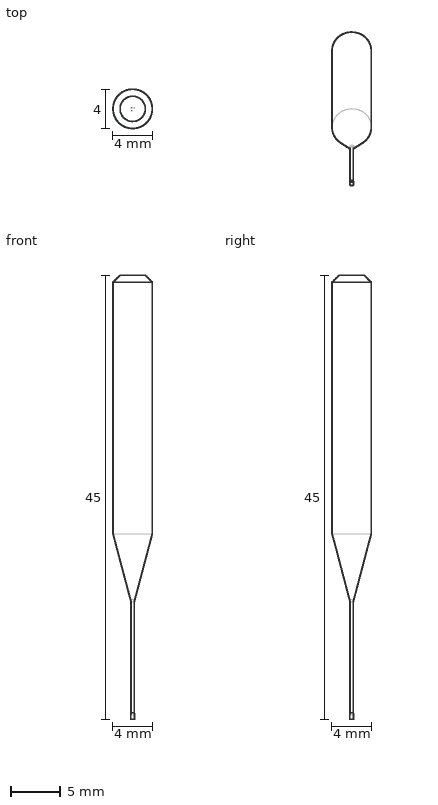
import cadquery as cq

overall_length = 45.0
cutter_length = 0.5
relief_length = 0.2
neck_top = 11.92
taper_bottom = 12.2
taper_top = 18.8
chamfer_length = 0.7

shank_radius = 4.0 / 2
shank_end_radius = shank_radius - chamfer_length
taper_end_radius = 0.248
neck_radius = 0.17
cutter_radius = 0.202

bottom = -overall_length / 2


def turned_body(profile):
    """Revolve (radius, height above the tip) points, closed along the Z axis."""
    heights = [height for _, height in profile]
    outline = [(0, heights[0]), *profile, (0, heights[-1])]
    return (
        cq.Workplane("XZ")
        .polyline(outline)
        .close()
        .revolve(360, (0, 0, 0), (0, 1, 0))
        .translate((0, 0, bottom))
    )


relief_top = cutter_length + relief_length
holder = turned_body([
    (neck_radius, relief_top),
    (neck_radius, neck_top),
    (taper_end_radius, taper_bottom),
    (shank_radius, taper_top),
    (shank_radius, overall_length - chamfer_length),
    (shank_end_radius, overall_length),
])

cutter = turned_body([
    (cutter_radius, 0),
    (cutter_radius, cutter_length),
    (neck_radius, relief_top),
])

result = cq.Compound.makeCompound([holder.val(), cutter.val()])